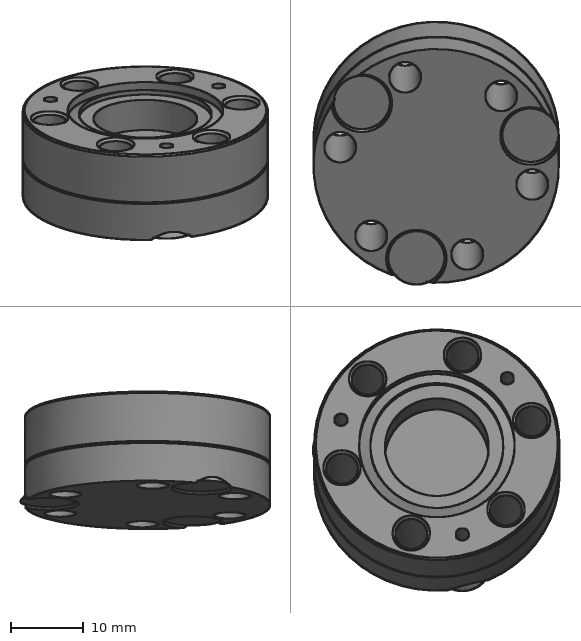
import cadquery as cq
import math

outer_radius = 33.78 / 2
total_height = 12.57
base_height = 5.33
edge_chamfer = 0.25

recess_radius = 21.4 / 2
recess_depth = 1.18
knife_radius = 18.28 / 2
knife_depth = 0.56
inner_floor_depth = 1.24
bore_radius = 14.28 / 2
bore_depth = inner_floor_depth + 4.45

bolt_count = 6
bolt_circle_radius = 13.49
bolt_diameter = 4.37
bolt_chamfer = 0.38
bolt_first_angle = 30

screw_angles = (60, 180, 300)
screw_circle_radius = 13.67
screw_hole_diameter = 1.78
screw_head_reach = 17.53
screw_head_radius = screw_head_reach - screw_circle_radius
screw_head_inset = 0.34
screw_half_angle = math.radians(82 / 2)


def polar(radius, angle):
    """Point in XY at the given radius and angle in degrees."""
    a = math.radians(angle)
    return (radius * math.cos(a), radius * math.sin(a))


def make_base():
    return cq.Workplane("XY").circle(outer_radius).extrude(base_height)


def make_flange():
    """Half section of the flange, revolved about Z."""
    chamfer_radius = outer_radius - edge_chamfer
    bore_floor = total_height - bore_depth
    inner_floor = total_height - inner_floor_depth
    return (
        cq.Workplane("XZ")
        .moveTo(0, base_height)
        .lineTo(chamfer_radius, base_height)
        .lineTo(outer_radius, base_height + edge_chamfer)
        .lineTo(outer_radius, total_height - edge_chamfer)
        .lineTo(chamfer_radius, total_height)
        .lineTo(recess_radius, total_height)
        .lineTo(recess_radius, total_height - recess_depth)
        .lineTo(knife_radius, total_height - knife_depth)
        .lineTo(knife_radius, inner_floor)
        .lineTo(bore_radius, inner_floor)
        .lineTo(bore_radius, bore_floor)
        .lineTo(0, bore_floor)
        .close()
        .revolve(360, (0, 0, 0), (0, 1, 0))
    )


def make_screw_cone(angle, bottom):
    """Cone of the screw heads, cut off flat at height `bottom`."""
    x, y = polar(screw_circle_radius, angle)
    bottom_radius = screw_head_radius + (screw_head_inset - bottom) * math.tan(screw_half_angle)
    height = bottom_radius / math.tan(screw_half_angle)
    cone = cq.Solid.makeCone(bottom_radius, 0, height, cq.Vector(x, y, bottom))
    return cq.Workplane(obj=cone)


def make_bolt_hole(angle):
    """Through hole with a chamfered mouth on the seal face."""
    x, y = polar(bolt_circle_radius, angle)
    radius = bolt_diameter / 2
    drill = cq.Workplane("XY").center(x, y).circle(radius).extrude(total_height)
    mouth = cq.Solid.makeCone(
        radius,
        radius + bolt_chamfer,
        bolt_chamfer,
        cq.Vector(x, y, total_height - bolt_chamfer),
    )
    return drill.union(cq.Workplane(obj=mouth))


def make_screw_hole(angle):
    """Hole through the flange, closed below by the base plate."""
    x, y = polar(screw_circle_radius, angle)
    return (
        cq.Workplane("XY", origin=(x, y, base_height))
        .circle(screw_hole_diameter / 2)
        .extrude(total_height - base_height)
    )


result = make_base().union(make_flange())

for screw_angle in screw_angles:
    countersink = make_screw_cone(screw_angle, 0)
    head = make_screw_cone(screw_angle, screw_head_inset)
    result = result.cut(countersink).union(head)
    result = result.cut(make_screw_hole(screw_angle))

for i in range(bolt_count):
    result = result.cut(make_bolt_hole(bolt_first_angle + i * 360 / bolt_count))